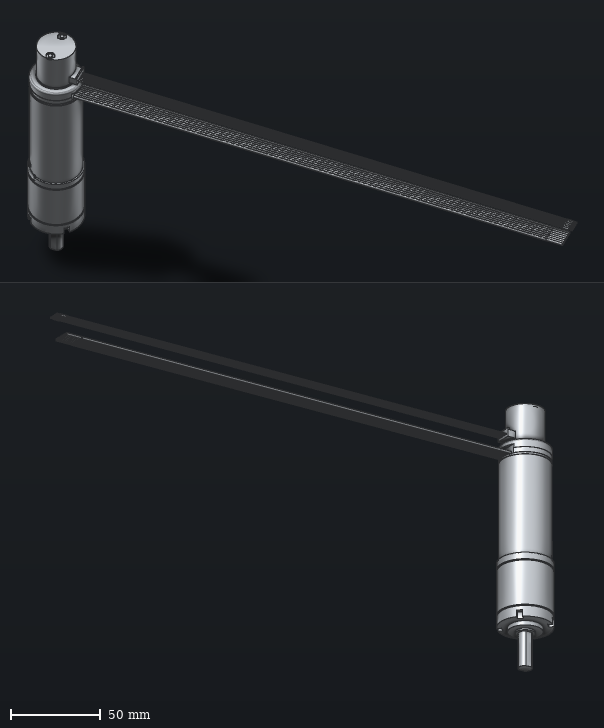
import cadquery as cq
import math


total_length = 331.0
total_height = 157.0

shaft_dia = 8.0
shaft_flats = 7.0
collar_dia = 11.3
pilot_dia = 20.0
gearbox_dia = 32.0
gearbox_groove_dia = 31.5
motor_dia = 30.0
flange_dia = 30.5
encoder_dia = 22.2
encoder_base_dia = 23.0

collar_z = 21.2
pilot_z = 22.2
gearbox_z = 24.8
cap_joint_z = 31.5
ring_joint_z = 59.2
motor_z = 64.0
flange_z = 128.8
encoder_z = 134.0

encoder_base_height = 1.0
joint_height = 0.5
flange_fillet = 1.0
tool_overlap = 3.3
notch_width = 3.3
notch_depth = 3.0
notch_height = 4.0
ring_slot_width = 11.5
ring_slot_height = 2.5
ring_slot_angle = 222
motor_groove_depth = 0.3
motor_groove_height = 1.3
upper_groove_z = 124.5
lower_groove_z = 66.5
lower_groove_width = 20.0
slit_width = 1.0
slit_height = 4.5
slit_depth = 1.3
slit_offset = 7.0
slit_z = 118.0
exit_flat_x = 13.0
exit_bottom_z = 125.8
exit_top_z = 131.0
screw_dia = 5.0
screw_socket_dia = 2.3
screw_offset = 8.3
screw_recess_depth = 1.0

cable_end_x = total_length - gearbox_dia / 2
motor_wire_count = 8
motor_wire_dia = 1.52
motor_wire_pitch = 1.42
motor_core_dia = 1.4
motor_wire_z = 126.8
motor_wire_end_x = 300.0
motor_core_end_x = 309.8
encoder_wire_count = 6
encoder_wire_dia = 0.8
encoder_wire_pitch = 1.25
encoder_sleeve_dia = 1.2
encoder_wire_z = 138.5
encoder_sleeve_x = 308.8
encoder_sleeve_end_x = 312.8

connector_x = 9.0
connector_end_x = 15.0
connector_width = 10.0
connector_z = 136.5
connector_top_z = 140.7
connector_lip = 1.0


def cylinder(diameter, bottom, top):
    return cq.Workplane("XY").workplane(offset=bottom).circle(diameter / 2).extrude(top - bottom)


def ring(outer_dia, inner_dia, bottom, height):
    profile = cq.Workplane("XY").workplane(offset=bottom).circle(outer_dia / 2).circle(inner_dia / 2)
    return profile.extrude(height)


def box(x_range, width, z_range, y=0):
    length = x_range[1] - x_range[0]
    height = z_range[1] - z_range[0]
    centered = (False, True, False)
    block = cq.Workplane("XY").box(length, width, height, centered=centered)
    return block.translate((x_range[0], y, z_range[0]))


def rod(diameter, start_x, end_x, y, z):
    return cq.Workplane("YZ", origin=(start_x, y, z)).circle(diameter / 2).extrude(end_x - start_x)


def wire_positions(count, pitch):
    return [(index - (count - 1) / 2) * pitch for index in range(count)]


def make_shaft():
    flats = box((-shaft_dia, shaft_dia), shaft_flats, (0, collar_z))
    shaft = cylinder(shaft_dia, 0, collar_z).intersect(flats)
    return shaft.union(cylinder(collar_dia, collar_z, pilot_z)).union(cylinder(pilot_dia, pilot_z, gearbox_z))


def make_gearbox():
    gearbox = cylinder(gearbox_dia, gearbox_z, motor_z)
    for joint_z in (cap_joint_z, ring_joint_z):
        gearbox = gearbox.cut(ring(gearbox_dia + tool_overlap, gearbox_groove_dia, joint_z, joint_height))

    radius = gearbox_dia / 2
    notch_top = gearbox_z + notch_height
    notch = box((radius - notch_depth, radius + tool_overlap), notch_width, (gearbox_z, notch_top))
    for angle in (45, 135, 225, 315):
        gearbox = gearbox.cut(notch.rotate((0, 0, 0), (0, 0, 1), angle))

    slot_floor_x = math.sqrt((motor_dia / 2) ** 2 - (ring_slot_width / 2) ** 2)
    slot_z_range = (motor_z - ring_slot_height, motor_z)
    slot = box((slot_floor_x, radius + tool_overlap), ring_slot_width, slot_z_range)
    return gearbox.cut(slot.rotate((0, 0, 0), (0, 0, 1), ring_slot_angle))


def make_motor():
    can = cylinder(motor_dia, motor_z, flange_z)
    groove_dia = motor_dia - 2 * motor_groove_depth
    upper_groove = ring(motor_dia + tool_overlap, groove_dia, upper_groove_z, motor_groove_height)

    arc_limit = box((-motor_dia, 0), lower_groove_width, (motor_z, flange_z))
    lower_groove = ring(motor_dia + tool_overlap, groove_dia, lower_groove_z, motor_groove_height)
    can = can.cut(upper_groove).cut(lower_groove.intersect(arc_limit))

    surface_x = -math.sqrt((motor_dia / 2) ** 2 - slit_offset ** 2)
    for y in (-slit_offset, slit_offset):
        x_range = (surface_x - slit_depth, surface_x + slit_depth)
        can = can.cut(box(x_range, slit_width, (slit_z - slit_height / 2, slit_z + slit_height / 2), y))

    flange = cylinder(flange_dia, flange_z, encoder_z).faces(">Z").edges().fillet(flange_fillet)
    exit_flat = box((exit_flat_x, flange_dia), flange_dia, (exit_bottom_z, exit_top_z))
    return can.union(flange).cut(exit_flat)


def make_encoder():
    housing = cylinder(encoder_dia, encoder_z, total_height)
    housing = housing.union(cylinder(encoder_base_dia, encoder_z, encoder_z + encoder_base_height))
    for y in (-screw_offset, screw_offset):
        recess = ring(screw_dia, screw_socket_dia, total_height - screw_recess_depth, screw_recess_depth)
        housing = housing.cut(recess.translate((0, y, 0)))

    body = box((connector_x, connector_end_x), connector_width, (connector_z, connector_top_z))
    lip_x = connector_end_x - connector_lip
    lip = box((lip_x, connector_end_x), connector_width, (connector_top_z, connector_top_z + connector_lip))
    return housing.union(body).union(lip)


def make_motor_wires():
    core_z = motor_wire_z + (motor_wire_dia - motor_core_dia) / 2
    wires = []
    for y in wire_positions(motor_wire_count, motor_wire_pitch):
        wire = rod(motor_wire_dia, 0, motor_wire_end_x, y, motor_wire_z)
        wires.append(wire.union(rod(motor_core_dia, motor_wire_end_x, motor_core_end_x, y, core_z)))
    return wires


def make_encoder_wires():
    wires = []
    for y in wire_positions(encoder_wire_count, encoder_wire_pitch):
        wire = rod(encoder_wire_dia, connector_x, cable_end_x, y, encoder_wire_z)
        sleeve = rod(encoder_sleeve_dia, encoder_sleeve_x, encoder_sleeve_end_x, y, encoder_wire_z)
        wires.append(wire.union(sleeve))
    return wires


result = make_shaft().union(make_gearbox()).union(make_motor()).union(make_encoder())
for cable_wire in make_motor_wires() + make_encoder_wires():
    result = result.union(cable_wire)